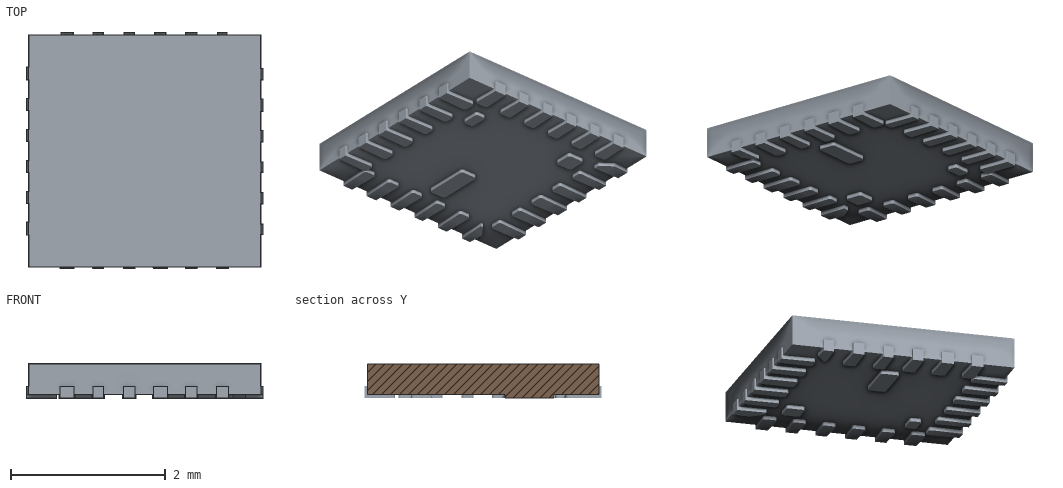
import cadquery as cq

BODY_SIDE = 3.0
BODY_HEIGHT = 0.4
STANDOFF = 0.05
TERMINAL_HEIGHT = 0.153
PITCH = 0.4
SIDE_OVERHANG = 0.03
FRONT_OVERHANG = 0.018
BACK_OVERHANG = 0.035
UPRIGHT_INSET = 0.03
FOOT_FLARE = 0.012
FOOT_CORNER = 0.037
SHORT_REACH = 0.392
LONG_REACH = 0.46
CORNER_CUT_LENGTH = 0.165
CORNER_CUT_WIDTH = 0.122
LAND_CORNER = 0.037

FRONT_WIDTHS = [0.18, 0.14, 0.153, 0.18, 0.153, 0.153]
BACK_WIDTHS = [0.16, 0.135, 0.135, 0.147, 0.147, 0.122]
LEFT_WIDTHS = [0.165, 0.153, 0.153, 0.153, 0.153, 0.165]
RIGHT_WIDTHS = [0.135, 0.147, 0.135, 0.147, 0.16, 0.15]
RIGHT_ROW_SHIFT = -0.01

LANDS = [
    (-0.795, 0.82, 0.263, 0.153),
    (-0.795, -0.795, 0.263, 0.245),
    (0.597, 0.0, 0.643, 0.245),
]


def make_terminal(width, overhang, reach, corner_cut=False):
    """Terminal on the -Y side at X = 0; corner_cut slants the inner corner toward -X."""
    outer = -BODY_SIDE / 2 - overhang
    inner = outer + reach
    half_outer = width / 2
    half_inner = half_outer + FOOT_FLARE
    outline = [(-half_outer, outer), (half_outer, outer), (half_inner, inner)]
    if corner_cut:
        outline.append((CORNER_CUT_WIDTH - half_inner, inner))
        outline.append((-half_inner, inner - CORNER_CUT_LENGTH))
    else:
        outline.append((-half_inner, inner))
    foot = cq.Workplane("XY").polyline(outline).close().extrude(STANDOFF)
    if not corner_cut:
        foot = foot.edges("|Z and >Y").fillet(FOOT_CORNER)
    upright = (
        cq.Workplane("XY")
        .box(width, overhang + UPRIGHT_INSET, TERMINAL_HEIGHT, centered=(True, False, False))
        .translate((0, outer, 0))
    )
    return foot.union(upright)


def make_row(widths, overhang, reach, turn, shift=0.0, cut_first=False):
    """Terminals along the -Y side, turned about Z; cut_first slants and shortens the first foot."""
    row = cq.Workplane("XY")
    first_x = shift - (len(widths) - 1) / 2 * PITCH
    for index, width in enumerate(widths):
        if cut_first and index == 0:
            terminal = make_terminal(width, overhang, SHORT_REACH, corner_cut=True)
        else:
            terminal = make_terminal(width, overhang, reach)
        row = row.add(terminal.translate((first_x + index * PITCH, 0, 0)))
    return row.combine().rotate((0, 0, 0), (0, 0, 1), turn)


def make_land(x, y, length, width):
    land = cq.Workplane("XY").box(length, width, STANDOFF, centered=(True, True, False))
    return land.edges("|Z").fillet(LAND_CORNER).translate((x, y, 0))


body = (
    cq.Workplane("XY")
    .box(BODY_SIDE, BODY_SIDE, BODY_HEIGHT, centered=(True, True, False))
    .translate((0, 0, STANDOFF))
)

rows = [
    make_row(FRONT_WIDTHS, FRONT_OVERHANG, LONG_REACH, 0, cut_first=True),
    make_row(RIGHT_WIDTHS, SIDE_OVERHANG, LONG_REACH, 90, shift=RIGHT_ROW_SHIFT, cut_first=True),
    make_row(BACK_WIDTHS[::-1], BACK_OVERHANG, LONG_REACH, 180),
    make_row(LEFT_WIDTHS[::-1], SIDE_OVERHANG, SHORT_REACH, -90),
]

result = body
for row in rows:
    result = result.union(row)
for land in LANDS:
    result = result.union(make_land(*land))